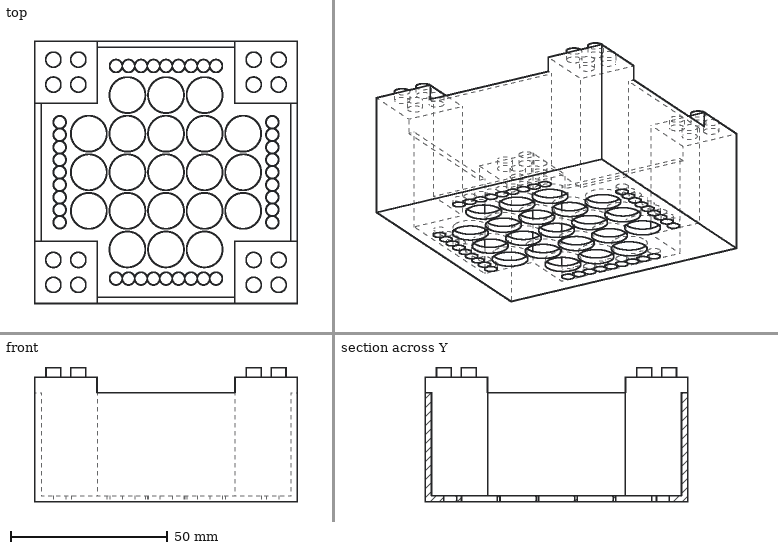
import cadquery as cq

side = 84.0
wall_height = 35.0
wall_thickness = 2.0
floor_thickness = 2.0

post_side = 20.0
post_height = 40.0
pin_diameter = 4.9
pin_height = 3.0
pin_outer_inset = 6.0
pin_pitch = 8.0

large_hole_diameter = 11.4
large_hole_pitch = 12.35
grid_half_count = 2
small_holes_per_row = 9
small_row_length = 32.0
small_hole_pitch = small_row_length / (small_holes_per_row - 1)
small_hole_web = 0.01
small_hole_diameter = small_hole_pitch - small_hole_web
small_row_offset = 34.0


def corner_points(distance):
    """Four points mirrored about both axes, at the given distance from each."""
    return [(x, y) for x in (-distance, distance) for y in (-distance, distance)]


def make_tray():
    outer = cq.Workplane("XY").rect(side, side).extrude(wall_height)
    inner_side = side - 2 * wall_thickness
    cavity = cq.Workplane("XY", origin=(0, 0, floor_thickness)).rect(inner_side, inner_side).extrude(wall_height)
    return outer.cut(cavity)


def make_posts():
    centres = corner_points((side - post_side) / 2)
    return cq.Workplane("XY").pushPoints(centres).rect(post_side, post_side).extrude(post_height)


def make_pins():
    outer_place = side / 2 - pin_outer_inset
    inner_place = outer_place - pin_pitch
    places = (-outer_place, -inner_place, inner_place, outer_place)
    centres = [(x, y) for x in places for y in places]
    base = cq.Workplane("XY", origin=(0, 0, post_height))
    return base.pushPoints(centres).circle(pin_diameter / 2).extrude(pin_height)


def make_large_holes():
    """Square grid of holes without its four corners, where the posts stand."""
    steps = range(-grid_half_count, grid_half_count + 1)
    centres = [
        (i * large_hole_pitch, j * large_hole_pitch)
        for i in steps
        for j in steps
        if abs(i) + abs(j) < 2 * grid_half_count
    ]
    return cq.Workplane("XY").pushPoints(centres).circle(large_hole_diameter / 2).extrude(floor_thickness)


def make_small_holes():
    """One row of holes along the inside of each wall."""
    offsets = [i * small_hole_pitch - small_row_length / 2 for i in range(small_holes_per_row)]
    centres = []
    for row in (-small_row_offset, small_row_offset):
        centres += [(offset, row) for offset in offsets]
        centres += [(row, offset) for offset in offsets]
    return cq.Workplane("XY").pushPoints(centres).circle(small_hole_diameter / 2).extrude(floor_thickness)


result = (
    make_tray()
    .union(make_posts())
    .union(make_pins())
    .cut(make_large_holes())
    .cut(make_small_holes())
)